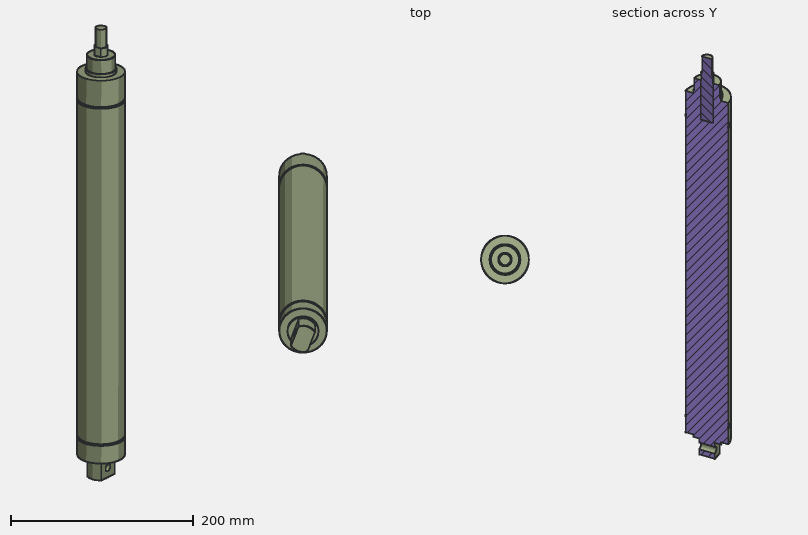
import cadquery as cq

TOTAL_HEIGHT = 532.0
TANG_TOP = 21.5
BARREL_BOTTOM = 24.5
BARREL_TOP = 480.0
COLLAR_TOP = 483.5
BOSS_TOP = 500.0
FLATS_TOP = 510.0

BARREL_DIAMETER = 52.5
BARREL_CHAMFER = 0.5
COLLAR_DIAMETER = 34.0
BOSS_DIAMETER = 31.5
BOSS_CHAMFER = 0.5
GROOVE_HEIGHTS = (47.0, 447.5)
GROOVE_WIDTH = 2.0
GROOVE_DEPTH = 0.5

TANG_THICKNESS = 19.0
TANG_DIAMETER = BOSS_DIAMETER
TANG_CHAMFER = 0.5
TANG_HOLE_DIAMETER = 8.5
TANG_HOLE_HEIGHT = 11.5

ROD_DIAMETER = 15.0
ROD_END_DIAMETER = 12.0
FLATS_ACROSS = ROD_END_DIAMETER
ROD_BOTTOM = GROOVE_HEIGHTS[1]


def cylinder(diameter, bottom, top):
    return cq.Workplane("XY").workplane(offset=bottom).circle(diameter / 2).extrude(top - bottom)


def make_tang():
    stub = cylinder(TANG_DIAMETER, 0, TANG_TOP).faces("<Z").chamfer(TANG_CHAMFER)
    slab = cq.Workplane("XY").rect(TANG_THICKNESS, TANG_DIAMETER).extrude(TANG_TOP)
    cross_hole = (
        cq.Workplane("YZ")
        .center(0, TANG_HOLE_HEIGHT)
        .circle(TANG_HOLE_DIAMETER / 2)
        .extrude(TANG_THICKNESS, both=True)
    )
    return stub.intersect(slab).cut(cross_hole)


def make_groove(height):
    bottom = height - GROOVE_WIDTH / 2
    top = height + GROOVE_WIDTH / 2
    core = cylinder(BARREL_DIAMETER - 2 * GROOVE_DEPTH, bottom, top)
    return cylinder(BARREL_DIAMETER, bottom, top).cut(core)


def make_housing():
    barrel = cylinder(BARREL_DIAMETER, BARREL_BOTTOM, BARREL_TOP).faces("<Z").chamfer(BARREL_CHAMFER)
    for height in GROOVE_HEIGHTS:
        barrel = barrel.cut(make_groove(height))
    lower_collar = cylinder(COLLAR_DIAMETER, TANG_TOP, BARREL_BOTTOM)
    upper_collar = cylinder(COLLAR_DIAMETER, BARREL_TOP, COLLAR_TOP)
    boss = cylinder(BOSS_DIAMETER, COLLAR_TOP, BOSS_TOP).faces(">Z").chamfer(BOSS_CHAMFER)
    rod_bore = cylinder(ROD_DIAMETER, ROD_BOTTOM, BOSS_TOP)
    body = barrel.union(lower_collar).union(upper_collar).union(boss)
    return body.union(make_tang()).cut(rod_bore)


def make_rod():
    shank = cylinder(ROD_DIAMETER, ROD_BOTTOM, BOSS_TOP)
    wrench_flats = cylinder(ROD_DIAMETER, BOSS_TOP, FLATS_TOP).intersect(
        cq.Workplane("XY")
        .workplane(offset=BOSS_TOP)
        .rect(ROD_DIAMETER, FLATS_ACROSS)
        .extrude(FLATS_TOP - BOSS_TOP)
    )
    rod_end = cylinder(ROD_END_DIAMETER, FLATS_TOP, TOTAL_HEIGHT)
    return shank.union(wrench_flats).union(rod_end)


housing = make_housing()
rod = make_rod()
result = cq.Compound.makeCompound([housing.val(), rod.val()])